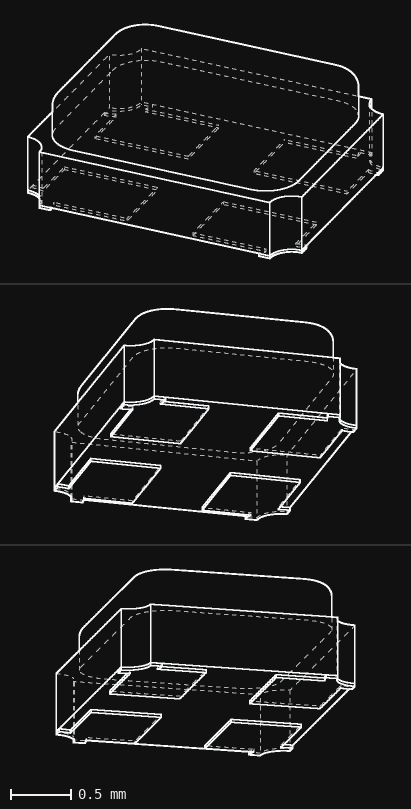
import cadquery as cq

LENGTH = 2.5
WIDTH = 2.0
HEIGHT = 0.9
NOTCH_RADIUS = 0.2

PAD_THICKNESS = 0.025
PAD_GAP = 0.6
PAD_INSET = 0.1
RIM_WIDTH = 0.1

BASE_HEIGHT = 0.5
LID_INSET = 0.142
LID_CORNER_RADIUS = 0.3
LID_TOP_FILLET = 0.1

BASE_TOP = PAD_THICKNESS + BASE_HEIGHT
LID_HEIGHT = HEIGHT - BASE_TOP
PAD_RIM_RADIUS = NOTCH_RADIUS + RIM_WIDTH


def make_housing():
    """Notched base with the rounded lid as one solid."""
    base = cq.Workplane("XY").workplane(offset=PAD_THICKNESS).rect(LENGTH, WIDTH).extrude(BASE_HEIGHT)
    notches = (
        cq.Workplane("XY")
        .workplane(offset=PAD_THICKNESS)
        .rect(LENGTH, WIDTH, forConstruction=True)
        .vertices()
        .circle(NOTCH_RADIUS)
        .extrude(BASE_HEIGHT)
    )
    lid = (
        cq.Workplane("XY")
        .workplane(offset=BASE_TOP)
        .rect(LENGTH - 2 * LID_INSET, WIDTH - 2 * LID_INSET)
        .extrude(LID_HEIGHT)
        .edges("|Z")
        .fillet(LID_CORNER_RADIUS)
        .faces(">Z")
        .edges()
        .fillet(LID_TOP_FILLET)
    )
    return base.cut(notches).union(lid)


def make_pad(x_side, y_side):
    """Pad at one corner: an inset rectangle joined to a rim around the notch."""
    corner = (x_side * LENGTH / 2, y_side * WIDTH / 2)
    inner_corner = (x_side * PAD_GAP / 2, y_side * PAD_GAP / 2)
    outer_corner = (corner[0] - x_side * PAD_INSET, corner[1] - y_side * PAD_INSET)

    rectangle = (
        cq.Workplane("XY")
        .moveTo(*inner_corner)
        .lineTo(outer_corner[0], inner_corner[1])
        .lineTo(*outer_corner)
        .lineTo(inner_corner[0], outer_corner[1])
        .close()
        .extrude(PAD_THICKNESS)
    )
    footprint = cq.Workplane("XY").rect(LENGTH, WIDTH).extrude(PAD_THICKNESS)
    rim = cq.Workplane("XY").center(*corner).circle(PAD_RIM_RADIUS).extrude(PAD_THICKNESS)
    notch = cq.Workplane("XY").center(*corner).circle(NOTCH_RADIUS).extrude(PAD_THICKNESS)
    return rectangle.union(rim.intersect(footprint)).cut(notch)


housing = make_housing()
pads = [make_pad(x_side, y_side) for x_side in (-1, 1) for y_side in (-1, 1)]

result = cq.Compound.makeCompound([housing.solids().val(), *[pad.solids().val() for pad in pads]])